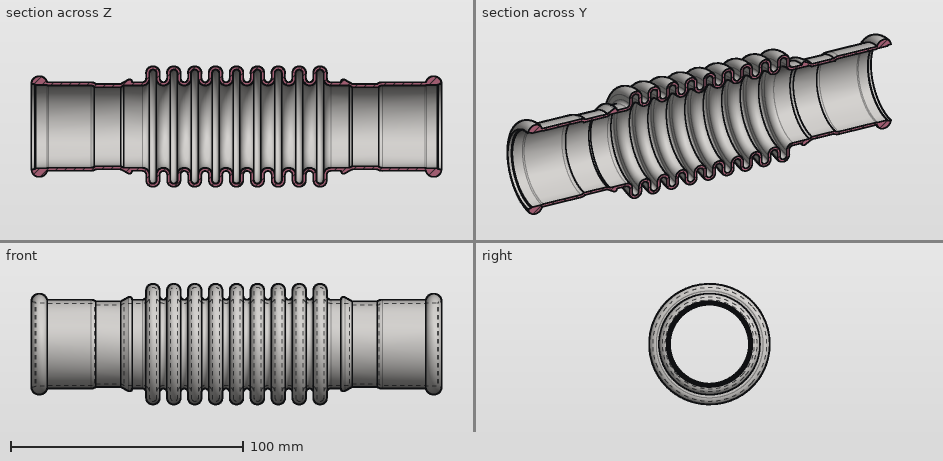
import cadquery as cq
import math

wall = 1.5
overall_length = 177.0

convolution_count = 9
convolution_pitch = 9.0
crest_diameter = 52.1
crest_radius = 3.0
root_radius = convolution_pitch / 2 - crest_radius

tube_diameter = 38.4
neck_diameter = 37.0

mouth_radius = 3.5
mouth_crest_diameter = 43.6
mouth_centre = 84.95
mouth_opening_diameter = 37.0
mouth_bore_diameter = 35.8
lead_in_length = 1.6
lead_in_end_diameter = 36.4
mouth_step_length = 0.35
mouth_bore_end = 81.8
mouth_taper_length = 0.7

socket_end = 62.7
shoulder_radius = 3.5

bead_centre = 46.1
bead_centre_radial = 19.25
bead_radius = 1.15
cone_angle = math.radians(29)

half_length = overall_length / 2
bellows_end = convolution_count * convolution_pitch / 2
tube_outer = tube_diameter / 2
tube_inner = tube_outer - wall
neck_outer = neck_diameter / 2
neck_inner = neck_outer - wall
mouth_opening = mouth_opening_diameter / 2
mouth_bore = mouth_bore_diameter / 2
lead_in_end = half_length - lead_in_length
mouth_centre_radial = mouth_crest_diameter / 2 - mouth_radius
crest_centre_radial = crest_diameter / 2 - crest_radius
root_centre_radial = tube_outer + root_radius


def leg(hypotenuse, other_leg):
    """Remaining leg of a right triangle."""
    return math.sqrt(hypotenuse**2 - other_leg**2)


def arc_to(path, centre, radius, start_angle, end_angle):
    """Append an arc given by its centre, radius and angles (radians from +X)."""
    def point(angle):
        return (centre[0] + radius * math.cos(angle), centre[1] + radius * math.sin(angle))

    return path.threePointArc(point((start_angle + end_angle) / 2), point(end_angle))


def add_bellows(path, crest_arc, root_arc, direction):
    """Append all convolutions, running along X in the given direction (+1 or -1).

    Crests use the upper half circle and roots the lower one, so root angles are negative.
    """
    rear = math.pi if direction > 0 else 0.0
    front = math.pi - rear
    down = -math.pi / 2
    for index in range(convolution_count):
        crest_x = direction * ((index + 0.5) * convolution_pitch - bellows_end)
        root_before = (crest_x - direction * convolution_pitch / 2, root_centre_radial)
        root_after = (crest_x + direction * convolution_pitch / 2, root_centre_radial)
        path = arc_to(path, root_before, root_arc, down, -front)
        path = path.lineTo(crest_x - direction * crest_arc, crest_centre_radial)
        path = arc_to(path, (crest_x, crest_centre_radial), crest_arc, rear, front)
        path = path.lineTo(crest_x + direction * crest_arc, root_centre_radial)
        path = arc_to(path, root_after, root_arc, -rear, down)
    return path


def bellows_band():
    """Revolved wall of the convolutions only."""
    path = cq.Workplane("XY").moveTo(-bellows_end, tube_inner).lineTo(-bellows_end, tube_outer)
    path = add_bellows(path, crest_radius, root_radius, 1)
    path = path.lineTo(bellows_end, tube_inner)
    path = add_bellows(path, crest_radius - wall, root_radius + wall, -1)
    return path.close().revolve(360, (0, 0, 0), (1, 0, 0))


def end_fitting():
    """Revolved wall of the +X end: collar, bead, neck, socket and bulged mouth."""
    collar_meets_bead = bead_centre - leg(bead_radius, tube_outer - bead_centre_radial)
    bead_start_angle = math.pi + math.asin((bead_centre_radial - tube_outer) / bead_radius)
    bead_end_angle = math.pi / 2 - cone_angle
    cone_top_x = bead_centre + bead_radius * math.sin(cone_angle)
    cone_top_radial = bead_centre_radial + bead_radius * math.cos(cone_angle)
    cone_foot_x = cone_top_x + (cone_top_radial - neck_outer) / math.tan(cone_angle)
    bore_cone_length = (tube_inner - neck_inner) / math.tan(cone_angle)

    shoulder_centre = (socket_end, tube_outer - shoulder_radius)
    shoulder_inner_radius = shoulder_radius - wall
    shoulder_angle = math.pi - math.asin((neck_outer - shoulder_centre[1]) / shoulder_radius)
    shoulder_inner_angle = math.pi - math.asin((neck_inner - shoulder_centre[1]) / shoulder_inner_radius)
    shoulder_foot_x = socket_end + shoulder_radius * math.cos(shoulder_angle)

    mouth = (mouth_centre, mouth_centre_radial)
    mouth_start_angle = math.pi - math.asin((tube_outer - mouth_centre_radial) / mouth_radius)
    mouth_end_angle = math.asin((mouth_opening - mouth_centre_radial) / mouth_radius)

    path = cq.Workplane("XY").moveTo(bellows_end, tube_inner).lineTo(bellows_end, tube_outer)
    path = path.lineTo(collar_meets_bead, tube_outer)
    path = arc_to(path, (bead_centre, bead_centre_radial), bead_radius, bead_start_angle, bead_end_angle)
    path = path.lineTo(cone_foot_x, neck_outer)
    path = path.lineTo(shoulder_foot_x, neck_outer)
    path = arc_to(path, shoulder_centre, shoulder_radius, shoulder_angle, math.pi / 2)
    path = path.lineTo(mouth_centre + mouth_radius * math.cos(mouth_start_angle), tube_outer)
    path = arc_to(path, mouth, mouth_radius, mouth_start_angle, mouth_end_angle)
    path = path.lineTo(half_length, mouth_opening)
    path = path.lineTo(lead_in_end, lead_in_end_diameter / 2)
    path = path.lineTo(lead_in_end - mouth_step_length, mouth_bore)
    path = path.lineTo(mouth_bore_end, mouth_bore)
    path = path.lineTo(mouth_bore_end - mouth_taper_length, tube_inner)
    path = path.lineTo(socket_end, tube_inner)
    path = arc_to(path, shoulder_centre, shoulder_inner_radius, math.pi / 2, shoulder_inner_angle)
    path = path.lineTo(cone_foot_x, neck_inner)
    path = path.lineTo(cone_foot_x - bore_cone_length, tube_inner)
    return path.close().revolve(360, (0, 0, 0), (1, 0, 0))


fitting = end_fitting()
result = bellows_band().union(fitting).union(fitting.mirror("YZ"))